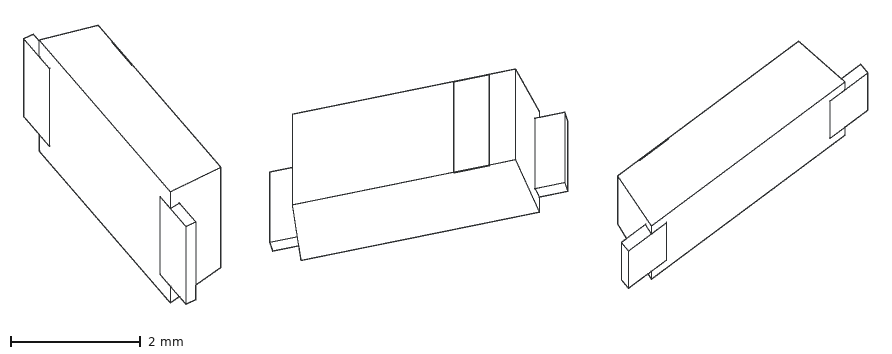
import cadquery as cq
import math

body_length = 3.8
body_width = 2.5
body_height = 1.0
draft_angle = 7.0
wall_inset = body_height * math.tan(math.radians(draft_angle))

overall_length = 4.7
lead_length = 0.75
lead_width = 1.75
lead_thickness = 0.18
lead_center_x = (overall_length - lead_length) / 2

band_length = 0.565
band_depth = 0.015
band_center_x = -1.075


def make_tapered_block():
    """Four-sided block that narrows evenly from Y = 0 to Y = body_height."""
    return (
        cq.Workplane("XZ")
        .rect(body_length, body_width)
        .workplane(offset=-body_height)
        .rect(body_length - 2 * wall_inset, body_width - 2 * wall_inset)
        .loft(ruled=True)
    )


def make_lead(center_x):
    """Flat rectangular terminal rising from the mounting face."""
    return (
        cq.Workplane("XY")
        .box(lead_length, lead_thickness, lead_width)
        .translate((center_x, lead_thickness / 2, 0))
    )


def make_band(block):
    """Thin strip of the block's narrow face, with ends that follow the wall taper."""
    strip = (
        cq.Workplane("XY")
        .box(band_length, band_depth, body_width)
        .translate((band_center_x, body_height - band_depth / 2, 0))
    )
    return strip.intersect(block)


def make_body(block, inserts):
    """Block with a matching recess for every inserted body."""
    body = block
    for insert in inserts:
        body = body.cut(insert)
    return body


block = make_tapered_block()
leads = [make_lead(side * lead_center_x) for side in (-1, 1)]
band = make_band(block)
body = make_body(block, leads + [band])

result = cq.Compound.makeCompound(
    [body.solids().val(), band.solids().val(), *[lead.val() for lead in leads]]
)